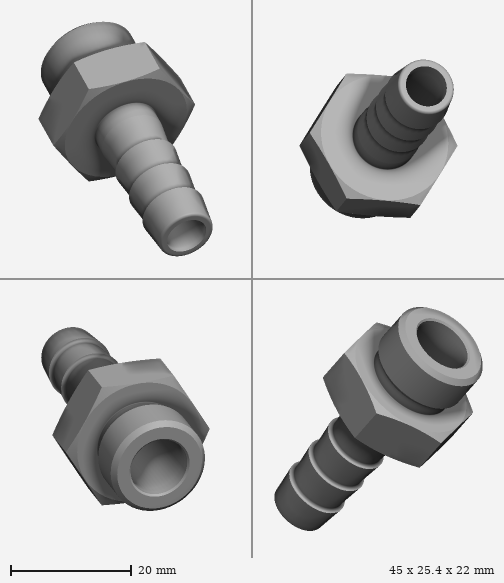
import cadquery as cq
import math


TOTAL_LENGTH = 45.0
HEX_START = 10.0
HEX_END = 18.0
BARB_COUNT = 4
BARBS_START = 21.0
BARB_PITCH = (TOTAL_LENGTH - BARBS_START) / BARB_COUNT

THREAD_RADIUS = 8.32
THREAD_FULL_END = 6.98
THREAD_LEAD_CHAMFER = 0.85
NECK_RADIUS = 7.35
NECK_START = THREAD_FULL_END + THREAD_RADIUS - NECK_RADIUS
ROOT_FILLET = 0.15

HEX_ACROSS_FLATS = 22.0
HEX_ACROSS_CORNERS = HEX_ACROSS_FLATS / math.cos(math.radians(30))
HEX_FACE_RADIUS = 10.95
HEX_CORNER_BEVEL = 0.68

STEM_RADIUS = 5.5
BARB_ROOT_RADIUS = 4.75
BARB_ROOT_FILLET = 0.5
TIP_FILLET = 0.5

BORE_RADIUS = 5.0
BORE_MOUTH_CHAMFER = 0.3
PASSAGE_RADIUS = 3.5
POINT_HALF_ANGLE = 45.0
POINT_LENGTH = (BORE_RADIUS - PASSAGE_RADIUS) / math.tan(math.radians(POINT_HALF_ANGLE))
BORE_DEPTH = HEX_END - POINT_LENGTH

SELECTION_MARGIN = 0.05


def revolve_about_x(profile):
    """Turn a closed profile, given as (axial position, radius), about the X axis."""
    return profile.close().revolve(360, (0, 0, 0), (1, 0, 0))


def ring_edge(solid, axial_position, radius):
    """Circular edge of the given radius at one position along the axis."""
    reach = radius + SELECTION_MARGIN
    box = cq.selectors.BoxSelector(
        (axial_position - SELECTION_MARGIN, -reach, -reach),
        (axial_position + SELECTION_MARGIN, reach, reach),
        boundingbox=True,
    )
    return solid.edges(box)


def hexagon():
    """Hexagon with flats facing up and down, its corners bevelled by a cone at each end."""
    prism = (
        cq.Workplane("YZ")
        .workplane(offset=HEX_START)
        .polygon(6, HEX_ACROSS_CORNERS)
        .extrude(HEX_END - HEX_START)
    )
    corner_radius = HEX_ACROSS_CORNERS / 2
    envelope = revolve_about_x(
        cq.Workplane("XY")
        .moveTo(HEX_START, 0)
        .lineTo(HEX_START, HEX_FACE_RADIUS)
        .lineTo(HEX_START + HEX_CORNER_BEVEL, corner_radius)
        .lineTo(HEX_END - HEX_CORNER_BEVEL, corner_radius)
        .lineTo(HEX_END, HEX_FACE_RADIUS)
        .lineTo(HEX_END, 0)
    )
    return prism.intersect(envelope)


def threaded_end():
    """Chamfered thread cylinder and the relief neck behind it."""
    return revolve_about_x(
        cq.Workplane("XY")
        .lineTo(0, THREAD_RADIUS - THREAD_LEAD_CHAMFER)
        .lineTo(THREAD_LEAD_CHAMFER, THREAD_RADIUS)
        .lineTo(THREAD_FULL_END, THREAD_RADIUS)
        .lineTo(NECK_START, NECK_RADIUS)
        .lineTo(HEX_START, NECK_RADIUS)
        .lineTo(HEX_START, 0)
    )


def barbed_stem():
    """Plain stem followed by a row of tapered barbs."""
    profile = (
        cq.Workplane("XY")
        .moveTo(HEX_END, 0)
        .lineTo(HEX_END, STEM_RADIUS)
        .lineTo(BARBS_START, STEM_RADIUS)
    )
    for barb in range(1, BARB_COUNT + 1):
        barb_end = BARBS_START + barb * BARB_PITCH
        profile = profile.lineTo(barb_end, BARB_ROOT_RADIUS)
        if barb < BARB_COUNT:
            profile = profile.lineTo(barb_end, STEM_RADIUS)
    return revolve_about_x(profile.lineTo(TOTAL_LENGTH, 0))


def round_body(body):
    """Fillet the roots of the neck, stem and barbs, then the tip of the stem."""
    body = ring_edge(body, NECK_START, NECK_RADIUS).fillet(ROOT_FILLET)
    body = ring_edge(body, HEX_START, NECK_RADIUS).fillet(ROOT_FILLET)
    body = ring_edge(body, HEX_END, STEM_RADIUS).fillet(ROOT_FILLET)
    for barb in range(1, BARB_COUNT):
        barb_end = BARBS_START + barb * BARB_PITCH
        body = ring_edge(body, barb_end, BARB_ROOT_RADIUS).fillet(BARB_ROOT_FILLET)
    return ring_edge(body, TOTAL_LENGTH, BARB_ROOT_RADIUS).fillet(TIP_FILLET)


def bore():
    """Wide bore with a chamfered mouth, ending in a cone that meets the narrow passage."""
    return revolve_about_x(
        cq.Workplane("XY")
        .lineTo(0, BORE_RADIUS + BORE_MOUTH_CHAMFER)
        .lineTo(BORE_MOUTH_CHAMFER, BORE_RADIUS)
        .lineTo(BORE_DEPTH, BORE_RADIUS)
        .lineTo(BORE_DEPTH + POINT_LENGTH, PASSAGE_RADIUS)
        .lineTo(TOTAL_LENGTH, PASSAGE_RADIUS)
        .lineTo(TOTAL_LENGTH, 0)
    )


body = threaded_end().union(hexagon()).union(barbed_stem())
result = round_body(body).cut(bore())